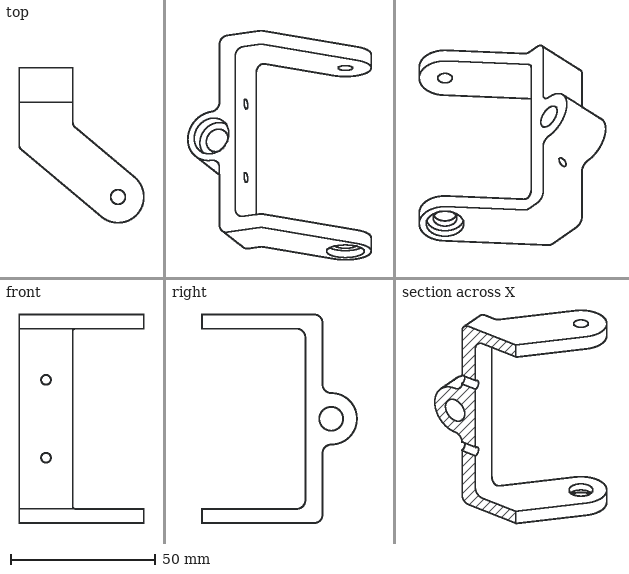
import cadquery as cq
import math

height = 72.5
width = 18.7
web_thickness = 6.0
arm_thickness = 5.0
corner_radius = 3.0
boss_radius = 9.0
bearing_bore = 8.2
bearing_diameter = 13.05
bearing_depth = 5.0
arm_end_x = 34.4
arm_end_y = -26.9
arm_end_radius = 9.0
arm_angle = 40.0
arm_bend_radius = 2.0
upper_hole = 5.0
lower_lip = 2.5
screw_hole = 3.3
screw_spacing = 27.05

boss_y = web_thickness + corner_radius
slope = math.tan(math.radians(arm_angle))
normal_x = math.sin(math.radians(arm_angle))
normal_y = math.cos(math.radians(arm_angle))


def arm_edge_point(side):
    """Tangent point of the rounded arm end; side is 1 for inner, -1 for outer."""
    return (arm_end_x + side * arm_end_radius * normal_x,
            arm_end_y + side * arm_end_radius * normal_y)


def cylinder_x(diameter, length):
    """Cylinder on the boss axis, starting at the -X end."""
    return (cq.Workplane("YZ", origin=(0, boss_y, 0))
            .circle(diameter / 2).extrude(length))


def cylinder_z(diameter, z_start, length):
    """Cylinder on the pivot axis at the rounded arm ends."""
    return (cq.Workplane("XY", origin=(arm_end_x, arm_end_y, z_start))
            .circle(diameter / 2).extrude(length))


def make_plan():
    """Bent outline of the arms, swept over the full height."""
    inner = arm_edge_point(1)
    outer = arm_edge_point(-1)
    inner_bend_y = inner[1] + (inner[0] - width) * slope
    outer_bend_y = outer[1] + outer[0] * slope
    plan = (cq.Workplane("XY", origin=(0, 0, -height / 2))
            .moveTo(0, web_thickness)
            .lineTo(width, web_thickness)
            .lineTo(width, inner_bend_y)
            .lineTo(*inner)
            .threePointArc((arm_end_x + arm_end_radius * normal_y,
                            arm_end_y - arm_end_radius * normal_x), outer)
            .lineTo(0, outer_bend_y)
            .close().extrude(height))
    for bend in ((width, inner_bend_y, 0), (0, outer_bend_y, 0)):
        plan = plan.edges(cq.selectors.NearestToPointSelector(bend)).fillet(arm_bend_radius)
    return plan


def make_channel():
    """Space between the arms, in front of the web, with rounded inner corners."""
    depth = arm_end_radius - arm_end_y
    reach = depth + 2 * corner_radius
    span = arm_end_x + arm_end_radius
    return (cq.Workplane("XY")
            .box(span, reach, height - 2 * arm_thickness, centered=(False, False, True))
            .translate((0, -reach, 0))
            .edges("|X and >Y").fillet(corner_radius))


def make_boss():
    """Round boss with concave blends down to the back of the web."""
    foot = boss_radius + corner_radius
    blend = corner_radius * math.sqrt(0.5)
    return (cq.Workplane("YZ")
            .moveTo(0, -foot)
            .lineTo(web_thickness, -foot)
            .threePointArc((boss_y - blend, -foot + blend), (boss_y, -boss_radius))
            .threePointArc((boss_y + boss_radius, 0), (boss_y, boss_radius))
            .threePointArc((boss_y - blend, foot - blend), (web_thickness, foot))
            .lineTo(0, foot)
            .close().extrude(width))


bracket = make_plan().edges("|X and >Y").fillet(corner_radius)
bracket = bracket.cut(make_channel()).union(make_boss())

bracket = bracket.cut(cylinder_x(bearing_bore, width))
bracket = bracket.cut(cylinder_x(bearing_diameter, bearing_depth))

bracket = bracket.cut(cylinder_z(upper_hole, height / 2 - arm_thickness, arm_thickness))
bracket = bracket.cut(cylinder_z(bearing_bore, -height / 2, arm_thickness))
bracket = bracket.cut(cylinder_z(bearing_diameter, -height / 2, arm_thickness - lower_lip))

for screw_z in (-screw_spacing / 2, screw_spacing / 2):
    screw = (cq.Workplane("XZ", origin=(width / 2, web_thickness, screw_z))
             .circle(screw_hole / 2).extrude(web_thickness))
    bracket = bracket.cut(screw)

result = bracket